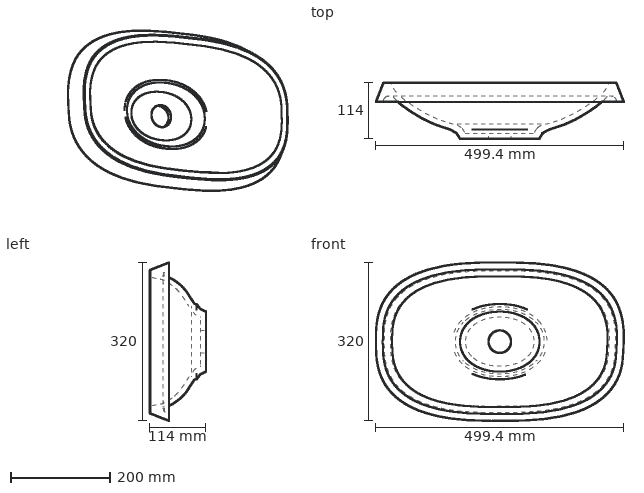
import cadquery as cq
import math

TOTAL_HEIGHT = 114.0
WALL = 11.0
DRAIN_DIAMETER = 45.0

SKIRT_HALF_X = 249.5
SKIRT_HALF_Z = 160.0
SKIRT_HEIGHT = 39.5
SKIRT_TAPER = 15.5
SKIRT_WALL = 14.0
SKIRT_START = TOTAL_HEIGHT - SKIRT_HEIGHT
RIM_CHAMFER = 1.5

GROOVE_DEPTH = 12.0
GROOVE_FLOOR = SKIRT_START + GROOVE_DEPTH
GROOVE_ROUND = 9.5

OVAL_POWER = 2.7
FOOT_POWER = 2.1
POINTS_PER_QUARTER = 7

FOOT_STATIONS = [(0.0, 80.0, 60.5), (9.5, 85.5, 64.5), (19.0, 100.5, 76.0)]
BOWL_STATIONS = [
    FOOT_STATIONS[-1],
    (32.5, 139.0, 90.5),
    (46.0, 165.0, 109.0),
    (60.0, 187.0, 121.0),
    (SKIRT_START, 205.5, 129.5),
    (GROOVE_FLOOR, 217.0, 132.0),
]


def oval(height, half_x, half_z, power):
    """Closed smooth oval wire in the plane Y = height."""
    points = []
    count = 4 * POINTS_PER_QUARTER
    for i in range(count):
        angle = 2 * math.pi * i / count
        c = math.cos(angle)
        s = math.sin(angle)
        x = half_x * math.copysign(abs(c) ** (2 / power), c)
        z = half_z * math.copysign(abs(s) ** (2 / power), s)
        points.append(cq.Vector(x, height, z))
    return cq.Wire.assembleEdges([cq.Edge.makeSpline(points, periodic=True)])


def loft(stations, shift=0.0, inset=0.0, ruled=False):
    """Solid through (height, half length, half width, power) stations."""
    wires = [oval(h + shift, a - inset, b - inset, n) for h, a, b, n in stations]
    return cq.Workplane(obj=cq.Solid.makeLoft(wires, ruled))


def with_power(stations, first, last):
    """Add oval powers that change steadily from the first to the last station."""
    step = (last - first) / (len(stations) - 1)
    return [(*station, first + i * step) for i, station in enumerate(stations)]


def skirt_block(inset, end):
    """Solid bounded by the skirt's tapered face, moved inward by inset."""
    taper = SKIRT_TAPER * (end - SKIRT_START) / SKIRT_HEIGHT
    stations = [
        (SKIRT_START, SKIRT_HALF_X, SKIRT_HALF_Z, OVAL_POWER),
        (end, SKIRT_HALF_X - taper, SKIRT_HALF_Z - taper, OVAL_POWER),
    ]
    return loft(stations, inset=inset, ruled=True)


foot_stations = with_power(FOOT_STATIONS, FOOT_POWER, FOOT_POWER)
bowl_stations = with_power(BOWL_STATIONS, FOOT_POWER, OVAL_POWER)

foot = loft(foot_stations)
bowl = loft(bowl_stations)
skirt = skirt_block(0.0, TOTAL_HEIGHT).faces(">Y").chamfer(RIM_CHAMFER)
recess = skirt_block(SKIRT_WALL, GROOVE_FLOOR).faces(">Y").edges().fillet(GROOVE_ROUND)
body = skirt.cut(recess).union(bowl).union(foot)

foot_hollow = loft(foot_stations, shift=WALL, inset=WALL)
bowl_hollow = loft(bowl_stations, shift=WALL, inset=WALL / 2)
bowl_end = BOWL_STATIONS[-1]
mouth_stations = [
    (GROOVE_FLOOR + WALL, bowl_end[1] - WALL / 2, bowl_end[2] - WALL / 2, OVAL_POWER),
    (
        TOTAL_HEIGHT,
        SKIRT_HALF_X - SKIRT_TAPER - SKIRT_WALL,
        SKIRT_HALF_Z - SKIRT_TAPER - SKIRT_WALL,
        OVAL_POWER,
    ),
]
mouth = loft(mouth_stations, ruled=True)

drain = cq.Workplane("XZ").circle(DRAIN_DIAMETER / 2).extrude(-TOTAL_HEIGHT)

result = body.cut(foot_hollow).cut(bowl_hollow).cut(mouth).cut(drain)